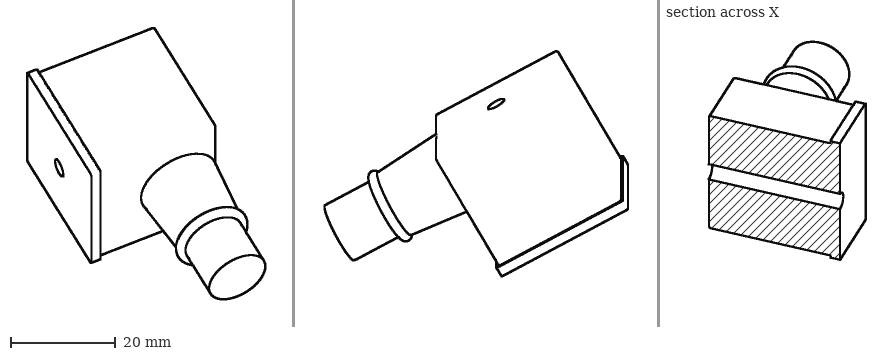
import cadquery as cq

total_length = 52.5
total_depth = 26.8
plate_side = 27.7

plate_thickness = 2.0
plate_overhang = 0.5
corner_radius = 0.5
hole_diameter = 3.5

collar_length = 0.25
taper_base_radius = 8.0
taper_end_radius = 6.7
bead_start = 40.5
bead_width = 2.0
bead_radius = 7.5
tube_radius = 6.0

housing_side = plate_side - 2 * plate_overhang
housing_depth = total_depth - plate_thickness
housing_end = plate_side - plate_overhang
middle = plate_side / 2
outlet_y = total_depth - taper_base_radius
bead_round = bead_width / 2
bead_center = bead_start + bead_round


def make_plate():
    """Front cover with rounded corners."""
    plate = cq.Workplane("XY").box(plate_side, plate_thickness, plate_side)
    plate = plate.edges("|Y").fillet(corner_radius)
    return plate.translate((middle, plate_thickness / 2, middle))


def make_housing():
    """Block behind the plate, rounded along its sides and around its back face."""
    housing = cq.Workplane("XY").box(housing_side, housing_depth, housing_side)
    housing = housing.edges("|Y or >Y").fillet(corner_radius)
    return housing.translate((middle, plate_thickness + housing_depth / 2, middle))


def make_outlet():
    """Turned outlet along X, rooted inside the housing behind its rounded edges."""
    root = housing_end - corner_radius
    profile = (
        cq.Workplane("XY")
        .moveTo(root, 0)
        .lineTo(root, taper_base_radius)
        .lineTo(housing_end + collar_length, taper_base_radius)
        .lineTo(bead_center, taper_end_radius)
        .lineTo(bead_center, tube_radius)
        .lineTo(total_length, tube_radius)
        .lineTo(total_length, 0)
        .close()
    )
    round_to_axis = bead_round - bead_radius
    bead_profile = cq.Workplane("XY").center(bead_center, bead_radius - bead_round).circle(bead_round)
    bead = bead_profile.revolve(360, (0, round_to_axis, 0), (1, round_to_axis, 0))
    outlet = profile.revolve(360, (0, 0, 0), (1, 0, 0)).union(bead)
    return outlet.translate((0, outlet_y, middle))


def make_hole():
    """Screw hole running from the plate through the back of the housing."""
    hole = cq.Workplane("XZ").circle(hole_diameter / 2).extrude(-total_depth)
    return hole.translate((middle, 0, middle))


result = make_plate().union(make_housing()).union(make_outlet()).cut(make_hole())